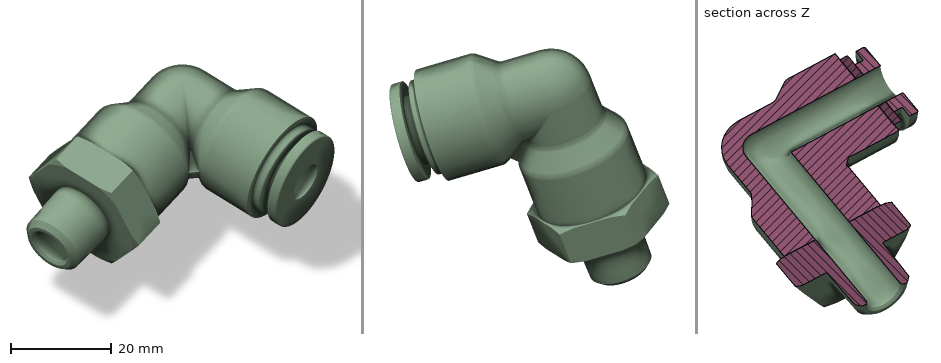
import cadquery as cq
import math


neck_radius = 8.35
barrel_diameter = 23.2
cone_start = 8.35
cone_end = 13.1
branch_length = 25.0
neck_fillet = 1.7
shoulder_fillet = 2.0
web_thickness = 2.0
web_corner_sum = 24.35
web_inner = 7.8
bore_diameter = 8.0

hex_flats = 24.0
hex_height = 8.0
hex_chamfer_radius = 12.6
hex_chamfer_height = 0.5
overall_y = 55.6
thread_root_diameter = 13.55
thread_tip_diameter = 13.0
thread_chamfer = 1.1
mouth_diameter = 9.0

collar_diameter = 19.6
collar_length = 1.8
collar_edge = 0.15
stem_diameter = 14.2
stem_length = 1.9
flange_size_y = 19.5
flange_size_z = 22.65
flange_edge_fillet = 0.35
overall_x = 44.75

barrel_radius = barrel_diameter / 2
hex_corner_radius = hex_flats / 2 / math.cos(math.radians(30))
collar_end = branch_length + collar_length
stem_end = collar_end + stem_length
flange_end = overall_x - hex_corner_radius
hex_end = branch_length + hex_height
thread_end = overall_y - barrel_radius


def revolve_about_x(points):
    """Revolve an (x, radius) outline about the X axis."""
    return cq.Workplane("XY").polyline(points).close().revolve(360, (0, 0, 0), (1, 0, 0))


def rod_along_x(diameter, start, end):
    return cq.Workplane("YZ", origin=(start, 0, 0)).circle(diameter / 2).extrude(end - start)


def turn_to_stud(shape):
    """Turn a shape made along +X so that it lies along -Y."""
    return shape.rotate((0, 0, 0), (0, 0, 1), -90)


def ring_at(x):
    """Selector for the circular edge centred on the X axis at the given x."""
    reach = 0.05
    return cq.selectors.BoxSelector((x - reach, -reach, -reach), (x + reach, reach, reach))


def make_branch():
    """Neck, cone and barrel of one branch, with both ends of the cone rounded."""
    branch = revolve_about_x([
        (0, 0),
        (0, neck_radius),
        (cone_start, neck_radius),
        (cone_end, barrel_radius),
        (branch_length, barrel_radius),
        (branch_length, 0),
    ])
    branch = branch.edges(ring_at(cone_start)).fillet(neck_fillet)
    return branch.edges(ring_at(cone_end)).fillet(shoulder_fillet)


def make_web():
    """Flat web that fills the inner corner between the two cones."""
    web_near = web_corner_sum - cone_end
    return (
        cq.Workplane("XY")
        .polyline([(web_inner, -web_inner), (cone_end, -web_near), (web_near, -cone_end)])
        .close()
        .extrude(web_thickness / 2, both=True)
    )


def make_elbow():
    branch = make_branch()
    bore = rod_along_x(bore_diameter, 0, branch_length)
    outside = cq.Workplane("XY").sphere(neck_radius).union(branch).union(turn_to_stud(branch))
    passage = cq.Workplane("XY").sphere(bore_diameter / 2).union(bore).union(turn_to_stud(bore))
    return outside.union(make_web()).cut(passage)


def make_stud():
    hexagon = (
        cq.Workplane("YZ", origin=(branch_length, 0, 0))
        .polygon(6, 2 * hex_corner_radius)
        .extrude(hex_height)
    )
    corner_limit = revolve_about_x([
        (branch_length, 0),
        (branch_length, hex_chamfer_radius),
        (branch_length + hex_chamfer_height, hex_corner_radius),
        (hex_end - hex_chamfer_height, hex_corner_radius),
        (hex_end, hex_chamfer_radius),
        (hex_end, 0),
    ])
    thread = revolve_about_x([
        (hex_end, 0),
        (hex_end, thread_root_diameter / 2),
        (thread_end - thread_chamfer, thread_tip_diameter / 2),
        (thread_end, thread_tip_diameter / 2 - thread_chamfer),
        (thread_end, 0),
    ])
    bore = rod_along_x(bore_diameter, branch_length, thread_end)
    mouth_depth = (mouth_diameter - bore_diameter) / 2
    mouth = revolve_about_x([
        (thread_end - mouth_depth, 0),
        (thread_end - mouth_depth, bore_diameter / 2),
        (thread_end, mouth_diameter / 2),
        (thread_end, 0),
    ])
    stud = hexagon.intersect(corner_limit).union(thread).cut(bore).cut(mouth)
    return turn_to_stud(stud)


def make_collar():
    collar = rod_along_x(collar_diameter, branch_length, collar_end)
    collar = collar.faces(">X").edges().chamfer(collar_edge)
    return collar.cut(rod_along_x(bore_diameter, branch_length, collar_end))


def make_button():
    """Release button: round stem and oval flange."""
    stem = rod_along_x(stem_diameter, collar_end, stem_end)
    flange = (
        cq.Workplane("YZ", origin=(stem_end, 0, 0))
        .ellipse(flange_size_y / 2, flange_size_z / 2)
        .extrude(flange_end - stem_end)
        .faces(">X")
        .edges()
        .fillet(flange_edge_fillet)
    )
    return stem.union(flange).cut(rod_along_x(bore_diameter, collar_end, flange_end))


elbow = make_elbow()
stud = make_stud()
collar = make_collar()
button = make_button()

result = cq.Compound.makeCompound([elbow.val(), stud.val(), collar.val(), button.val()])